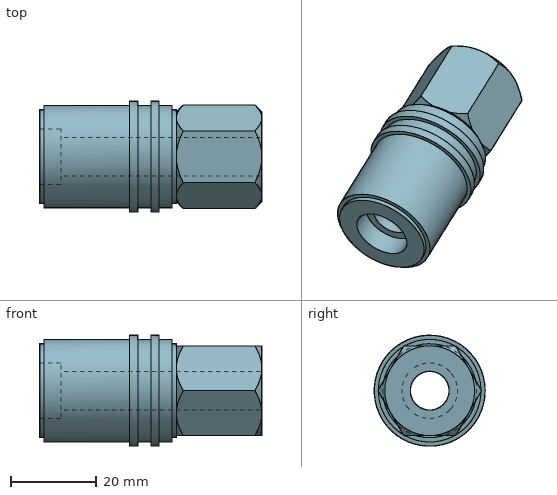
import cadquery as cq
import math

length = 52.0
hex_start = 32.0
hex_flats = 21.0
hex_sides = 6

collar_diameter = 22.0
collar_width = 1.0
sleeve_diameter = 24.0
ring_diameter = 26.0
ring_width = 2.0
ring_starts = (21.0, 26.0)

socket_diameter = 13.0
socket_depth = 5.0
bore_diameter = 9.0


def cylinder(diameter, start, end):
    """Solid cylinder along X between two stations."""
    return cq.Workplane("YZ", origin=(start, 0, 0)).circle(diameter / 2).extrude(end - start)


def turned_body():
    sleeve = cylinder(sleeve_diameter, collar_width, hex_start - collar_width)
    body = cylinder(collar_diameter, 0, hex_start).union(sleeve)
    for start in ring_starts:
        body = body.union(cylinder(ring_diameter, start, start + ring_width))
    return body


def hex_nut():
    """Hexagon with flats facing +Z and -Z, its corners turned off at 45 degrees on both ends."""
    corner_radius = hex_flats / 2 / math.cos(math.pi / hex_sides)
    corner_angles = [2 * math.pi * i / hex_sides for i in range(hex_sides)]
    corners = [(corner_radius * math.cos(a), corner_radius * math.sin(a)) for a in corner_angles]
    prism = (
        cq.Workplane("YZ", origin=(hex_start, 0, 0))
        .polyline(corners)
        .close()
        .extrude(length - hex_start)
    )
    corner_chamfer = corner_radius - hex_flats / 2
    envelope = cylinder(2 * corner_radius, hex_start, length)
    envelope = envelope.faces("<X or >X").chamfer(corner_chamfer)
    return prism.intersect(envelope)


def stepped_bore():
    return cylinder(bore_diameter, 0, length).union(cylinder(socket_diameter, 0, socket_depth))


result = turned_body().union(hex_nut()).cut(stepped_bore())